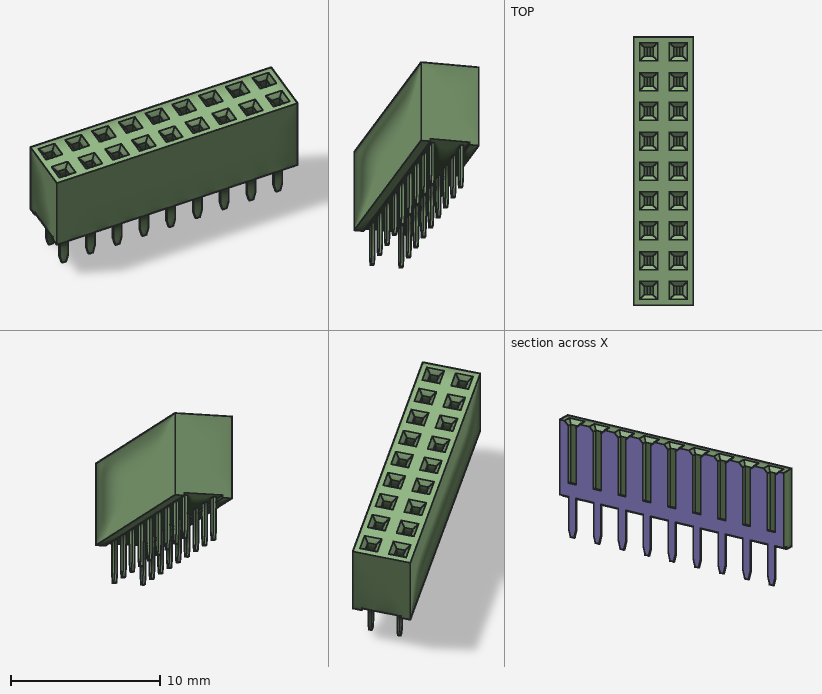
import cadquery as cq

columns = 2
rows = 9

length = 18.0
pitch = length / rows
width = columns * pitch
housing_top = 8.3
housing_bottom = 2.7

foot_width = 0.65
foot_height = 0.18

mouth_size = 1.2
throat_size = 0.6
funnel_depth = (mouth_size - throat_size) / 2
socket_depth = 4.5
socket_floor = housing_top - socket_depth

pin_thickness = 0.2
pin_width = 0.61
pin_head = 0.09
pin_top = socket_floor + pin_head
tip_width = 0.3
tip_length = 0.6


def make_box(size_x, size_y, bottom, top):
    """Box centred on the Z axis between two heights."""
    return cq.Workplane("XY").workplane(offset=bottom).rect(size_x, size_y).extrude(top - bottom)


def make_housing():
    """Rectangular block with a shallow channel along its underside."""
    block = make_box(width, length, housing_bottom, housing_top)
    channel = make_box(width - 2 * foot_width, length, housing_bottom, housing_bottom + foot_height)
    return block.cut(channel)


def make_socket():
    """Square funnel leading into a square blind throat."""
    funnel = (
        cq.Workplane("XY")
        .workplane(offset=housing_top)
        .rect(mouth_size, mouth_size)
        .workplane(offset=-funnel_depth)
        .rect(throat_size, throat_size)
        .loft()
    )
    throat = make_box(throat_size, throat_size, socket_floor, housing_top - funnel_depth)
    return funnel.union(throat)


def make_pin():
    """Flat strip with a tapered tip."""
    half_width = pin_width / 2
    half_tip = tip_width / 2
    outline = [
        (-half_tip, 0),
        (half_tip, 0),
        (half_width, tip_length),
        (half_width, pin_top),
        (-half_width, pin_top),
        (-half_width, tip_length),
    ]
    return cq.Workplane("YZ").polyline(outline).close().extrude(pin_thickness / 2, both=True)


contact_positions = [
    ((column - (columns - 1) / 2) * pitch, (row - (rows - 1) / 2) * pitch, 0)
    for column in range(columns)
    for row in range(rows)
]

socket = make_socket()
pin = make_pin()
result = make_housing()
for position in contact_positions:
    result = result.cut(socket.translate(position))
    result = result.union(pin.translate(position))